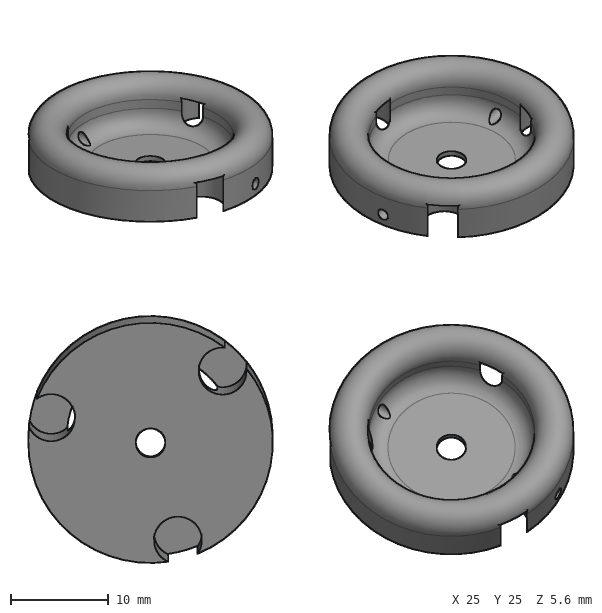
import cadquery as cq
import math

outer_radius = 12.5
height = 5.6
rim_radius = 2.0
floor_thickness = 0.6
bore_diameter = 3.0

pocket_count = 3
first_pocket_angle = 90.0
pocket_radius = 2.45
pocket_depth = 4.0

cross_hole_diameter = 1.22
cross_hole_height = 1.32

shoulder_height = height - rim_radius
rim_center_radius = outer_radius - rim_radius
inner_radius = outer_radius - 2 * rim_radius
fillet_radius = rim_radius
floor_radius = inner_radius - fillet_radius
fillet_top = floor_thickness + fillet_radius
fillet_mid_offset = fillet_radius * math.sqrt(0.5)


def make_cup():
    """Revolve the half section: flat base, filleted bowl and full-round rim."""
    section = (
        cq.Workplane("XZ")
        .lineTo(outer_radius, 0)
        .lineTo(outer_radius, shoulder_height)
        .threePointArc((rim_center_radius, height), (inner_radius, shoulder_height))
        .lineTo(inner_radius, fillet_top)
        .threePointArc(
            (floor_radius + fillet_mid_offset, fillet_top - fillet_mid_offset),
            (floor_radius, floor_thickness),
        )
        .lineTo(0, floor_thickness)
        .close()
    )
    return section.revolve(360, (0, 0, 0), (0, 1, 0))


def make_pockets():
    """Blind vertical cylinders rising from the base, evenly spaced."""
    return (
        cq.Workplane("XY")
        .polarArray(rim_center_radius, first_pocket_angle, 360, pocket_count)
        .circle(pocket_radius)
        .extrude(pocket_depth)
    )


def make_bore():
    return cq.Workplane("XY").circle(bore_diameter / 2).extrude(floor_thickness)


def make_cross_hole():
    """Cylinder along X that pierces both side walls."""
    return (
        cq.Workplane("YZ")
        .center(0, cross_hole_height)
        .circle(cross_hole_diameter / 2)
        .extrude(outer_radius, both=True)
    )


result = make_cup().cut(make_pockets()).cut(make_bore()).cut(make_cross_hole())